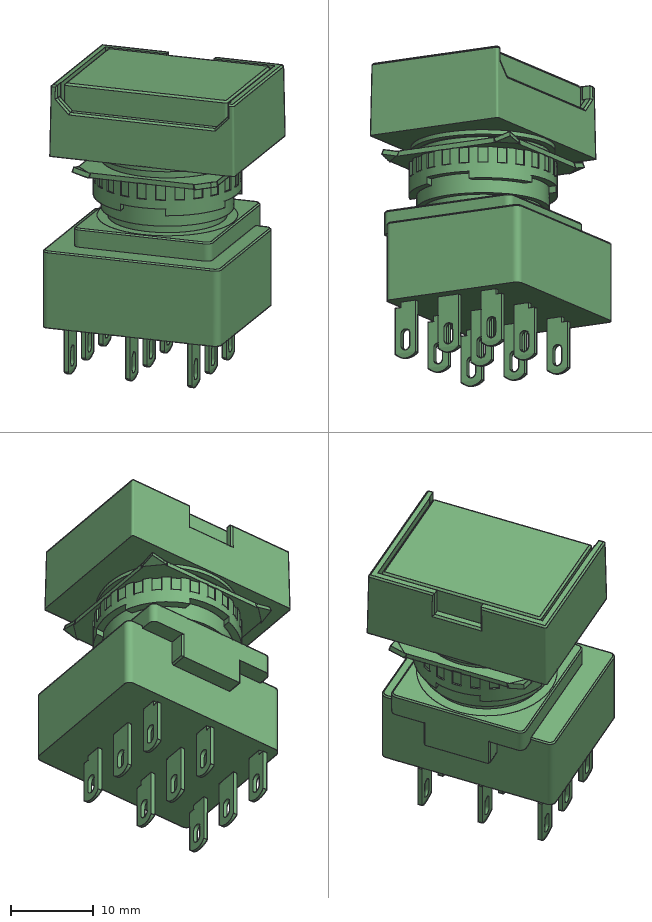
import cadquery as cq
import math


block_top = 9.75
overhang_bottom = 9.2
plate_top = 12.1
barrel_bottom = 13.17
nut_skirt_bottom = 14.8
nut_bottom = 15.65
grip_slot_bottom = 16.75
nut_top = 18.67
washer_top = 19.3
groove_bottom = 20.2
collar_bottom = 20.3
bezel_bottom = 20.85
pocket_floor = 22.15
lip_height = 26.35
bezel_top = 29.9
button_top = bezel_top

neck_radius = 7.25
barrel_radius = 8.05
groove_radius = 7.85
collar_radius = 8.75
foot_radius = 8.52
bezel_length = 23.9
bezel_width = 17.95
bezel_draft = 0.9
bezel_corner_radius = 0.25
rim_chamfer = 0.22
pocket_length = 21.85
pocket_width = 15.8
window_half_top = 11.25
window_half_bottom = 9.45
opening_chamfer = 0.25
rear_notch_length = 6.65

button_length = 21.1
button_width = 15.28
button_chamfer = 0.25
button_corner_radius = 0.35

nut_radius = 9.0
skirt_notch_width = 5.83
grip_slot_count = 24
grip_slot_width = 1.18
grip_slot_depth = 0.22
washer_half = 8.9
corner_leg = 1.95
corner_bend = 20.0

block_left = -11.9
block_right = 11.07
block_front = -11.85
block_back = 6.9
plate_length = 17.8
plate_width = 17.95
corner_radius = 0.8
edge_chamfer = 0.2
latch_length = 8.85
latch_depth = 3.7
latch_bottom = 5.7
latch_chamfer = 0.22

terminal_columns = (-9.93, -2.0, 6.0)
terminal_rows = (-7.05, -1.05, 4.98)
terminal_width = 2.88
terminal_thickness = 0.55
terminal_shoulder = -6.42
terminal_tip = -7.0
tip_thickness = 0.35
eye_width = 1.2
eye_length = 2.62
eye_center = -4.72
relief_width = 0.8
relief_height = 0.65


def disc(radius, bottom, top):
    """Cylinder about the barrel axis."""
    return cq.Workplane("XY").workplane(offset=bottom).circle(radius).extrude(top - bottom)


def block(x_min, x_max, y_min, y_max, z_min, z_max):
    """Box given by its limits."""
    size = (x_max - x_min, y_max - y_min, z_max - z_min)
    return cq.Workplane("XY").box(*size, centered=False).translate((x_min, y_min, z_min))


def centered_block(length, width, bottom, top):
    """Box centred on the barrel axis."""
    return block(-length / 2, length / 2, -width / 2, width / 2, bottom, top)


def window_outline(grow):
    """Front window of the bezel, with its sloped lower corners, widened by `grow`."""
    slope = window_half_top - window_half_bottom
    corner_shift = grow * math.tan(math.pi / 8)
    half_top = window_half_top + grow
    half_bottom = window_half_bottom + corner_shift
    bottom = lip_height - grow
    shoulder = lip_height + slope - corner_shift
    above = bezel_top + 0.37
    return [
        (-half_top, above), (-half_top, shoulder), (-half_bottom, bottom),
        (half_bottom, bottom), (half_top, shoulder), (half_top, above),
    ]


def notch_outline(grow):
    """Square notch in the rear wall of the bezel, widened by `grow`."""
    half = rear_notch_length / 2 + grow
    bottom = lip_height - grow
    above = bezel_top + 0.37
    return [(-half, above), (-half, bottom), (half, bottom), (half, above)]


def make_opening(outline, wall_face):
    """Cutter for a front wall: a straight opening whose outer edges are chamfered at `wall_face`."""
    opening = (
        cq.Workplane("XZ", origin=(0, -pocket_width / 2 + 0.37, 0))
        .polyline(outline(-opening_chamfer)).close()
        .extrude(bezel_width / 2)
    )
    flare = (
        cq.Workplane("XZ", origin=(0, -wall_face + opening_chamfer, 0))
        .polyline(outline(-opening_chamfer)).close()
        .workplane(offset=2 * opening_chamfer)
        .polyline(outline(opening_chamfer)).close()
        .loft(ruled=True)
    )
    return opening.union(flare)


def make_bezel():
    """Drafted rectangular bezel with a pocket, a front window and a rear notch."""
    bezel = (
        cq.Workplane("XY").workplane(offset=bezel_bottom)
        .rect(bezel_length, bezel_width)
        .extrude(bezel_top - bezel_bottom, taper=bezel_draft)
        .edges("not #Z").fillet(bezel_corner_radius)
        .faces(">Z").edges().chamfer(rim_chamfer)
    )
    bezel = bezel.cut(centered_block(pocket_length, pocket_width, pocket_floor, bezel_top))

    draft_at_lip = (lip_height - bezel_bottom) * math.tan(math.radians(bezel_draft))
    wall_face = bezel_width / 2 - draft_at_lip
    rear_notch = make_opening(notch_outline, wall_face).mirror("XZ")
    return bezel.cut(make_opening(window_outline, wall_face)).cut(rear_notch)


def make_housing():
    """Bezel on its collar, the barrel, the neck and the foot seated in the contact block."""
    return (
        make_bezel()
        .union(disc(collar_radius, collar_bottom, bezel_bottom))
        .union(disc(groove_radius, groove_bottom, collar_bottom))
        .union(disc(barrel_radius, barrel_bottom, groove_bottom))
        .union(disc(neck_radius, plate_top, barrel_bottom))
        .union(disc(foot_radius, block_top, plate_top))
    )


def make_button():
    """Push button that fills the bezel pocket up to the rim."""
    button = centered_block(button_length, button_width, pocket_floor, button_top)
    button = button.edges("|Z").fillet(button_corner_radius)
    return button.faces(">Z").edges().chamfer(button_chamfer)


def make_bent_corner(plate):
    """The (+X, +Y) corner of the square plate, tilted up about its fold line on the top face."""
    fold_across = washer_half - corner_leg / 2
    fold_distance = math.sqrt(2) * fold_across
    bend_root = (washer_top - nut_top) * math.tan(math.radians(corner_bend))
    beyond_fold = block(
        fold_distance - bend_root, 2 * fold_distance, -fold_distance, fold_distance, nut_top, washer_top
    )
    corner = plate.intersect(beyond_fold.rotate((0, 0, 0), (0, 0, 1), 45))
    axis_start = (fold_across, fold_across, washer_top)
    axis_end = (fold_across + 0.37, fold_across - 0.37, washer_top)
    corner = corner.rotate(axis_start, axis_end, corner_bend)
    return corner.intersect(centered_block(4 * washer_half, 4 * washer_half, nut_top, bezel_bottom))


def make_washer():
    """Square plate whose four corners are bent upward."""
    plate = centered_block(2 * washer_half, 2 * washer_half, nut_top, washer_top)
    bent_corner = make_bent_corner(plate)
    washer = plate.edges("|Z").chamfer(corner_leg)
    for quarter in range(4):
        washer = washer.union(bent_corner.rotate((0, 0, 0), (0, 0, 1), 90 * quarter))
    return washer


def make_lock_ring():
    """Threaded ring with grip slots and skirt notches, topped by the bent square plate."""
    ring = disc(nut_radius, nut_bottom, nut_top)
    slot = block(
        nut_radius - grip_slot_depth, nut_radius + 0.37,
        -grip_slot_width / 2, grip_slot_width / 2, grip_slot_bottom, nut_top,
    )
    for index in range(grip_slot_count):
        ring = ring.cut(slot.rotate((0, 0, 0), (0, 0, 1), index * 360 / grip_slot_count))

    skirt = disc(nut_radius, nut_skirt_bottom, nut_bottom)
    reach = 2 * nut_radius
    skirt = skirt.cut(centered_block(reach, skirt_notch_width, nut_skirt_bottom, nut_bottom))
    skirt = skirt.cut(centered_block(skirt_notch_width, reach, nut_skirt_bottom, nut_bottom))

    bore = disc(barrel_radius, nut_skirt_bottom, washer_top + 0.37)
    return ring.union(skirt).union(make_washer()).cut(bore)


def make_terminal(x, y, relief_side):
    """Solder tab with an eye, an arched thinned tip and, on an outer row, a relief at the top."""
    half = terminal_width / 2
    tab = (
        cq.Workplane("YZ").moveTo(-half, 0).lineTo(-half, terminal_shoulder)
        .threePointArc((0, terminal_tip), (half, terminal_shoulder)).lineTo(half, 0).close()
        .extrude(terminal_thickness / 2, both=True)
    )
    thinning = (
        cq.Workplane("XZ")
        .polyline([
            (terminal_thickness / 2, terminal_shoulder),
            (terminal_thickness, terminal_shoulder),
            (terminal_thickness, terminal_tip),
            (tip_thickness / 2, terminal_tip),
        ]).close()
        .extrude(half, both=True)
    )
    eye = (
        cq.Workplane("YZ").center(0, eye_center)
        .slot2D(eye_length, eye_width, 90)
        .extrude(terminal_thickness, both=True)
    )
    tab = tab.cut(thinning).cut(thinning.mirror("YZ")).cut(eye)
    if relief_side:
        relief = centered_block(2 * terminal_thickness, 2 * relief_width, -relief_height, 0)
        tab = tab.cut(relief.translate((0, relief_side * half, 0)))
    return tab.translate((x, y, 0))


def make_base():
    """Contact block with its mounting plate, rear latch, terminals and the socket for the foot."""
    base = block(block_left, block_right, block_front, block_back, 0, block_top)
    base = base.edges("|Z").fillet(corner_radius).faces(">Z").edges().chamfer(edge_chamfer)

    plate = centered_block(plate_length, plate_width, overhang_bottom, plate_top)
    plate = plate.edges("|Z").fillet(corner_radius).faces(">Z").edges().chamfer(edge_chamfer)

    back = plate_width / 2
    latch = block(
        -latch_length / 2, latch_length / 2, back - latch_depth, back, latch_bottom, overhang_bottom
    )
    latch = latch.faces("<X or >X").edges(">Y or <Z").chamfer(latch_chamfer)
    base = base.union(plate).union(latch)

    for x in terminal_columns:
        for row, y in enumerate(terminal_rows):
            base = base.union(make_terminal(x, y, row - 1))
    return base.cut(disc(foot_radius, block_top, plate_top))


housing = make_housing()
button = make_button()
lock_ring = make_lock_ring()
base = make_base()

result = cq.Compound.makeCompound([housing.val(), button.val(), lock_ring.val(), base.val()])